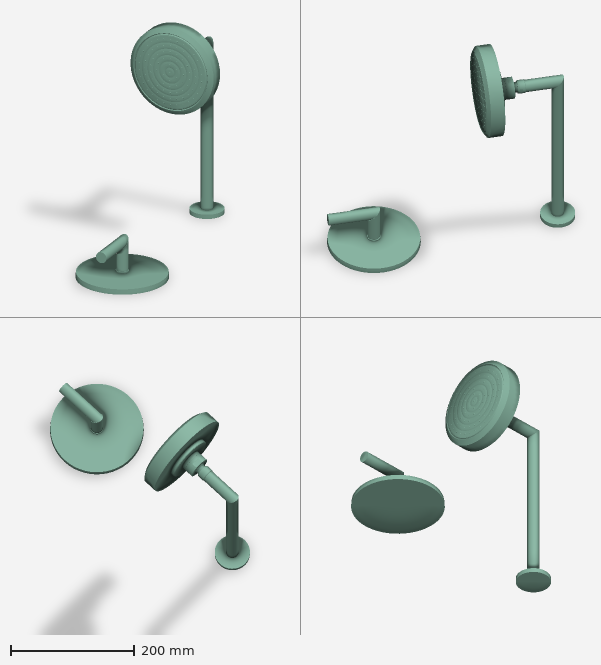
import cadquery as cq
import math

total_height = 370.97
plate_radius = 76.2
arm_y = 304.8

flange_radius = 28.57
flange_thickness = 7.6
arm_radius = 10.2
head_radius = 75.6
head_z = total_height - head_radius

collar_back_y = 250.2
collar_bevel_y = 240.3
collar_front_y = 237.3
nut_back_y = 230.9
nut_groove_y = 216.3
disc_back_y = 209.8
head_back_y = 202.4
rim_bevel_y = 179.0
rim_front_y = 173.6

collar_radius = 11.2
collar_bevel_radius = 10.4
collar_back_bevel = 0.9
collar_flat_width = 6.3
collar_flat_length = 5.0
neck_radius = 8.6
neck_flare_radius = 10.5
neck_flare_length = 2.2
nut_radius = 18.0
nut_flat_distance = 16.6
nut_flat_length = 9.6
nut_groove_size = 0.6
disc_radius = 37.8
disc_bevel = 1.0

rim_inner_radius = 67.3
rim_groove_outer_radius = 66.3
rim_groove_inner_radius = 65.4
face_radius = 64.4
face_edge_width = 1.8
face_edge_drop = 0.2
rim_groove_depth = 1.5
dome_apex_y = 170.9
dome_edge_y = 173.5
ring_count = 5
ring_pitch = 10.8
first_band_radius = 3.2
band_half_width = 1.6
valley_depth = 0.4
ramp_bulge = 0.1
nozzles_per_step = 6
nozzle_root_radius = 1.5
nozzle_tip_radius = 0.8
nozzle_height = 0.6
nozzle_root_depth = 0.9

plate_top_radius = 75.4
plate_thickness = 9.0
post_collar_radius = 11.0
post_collar_gap = 0.8
post_collar_height = 2.7
post_radius = 9.8
post_joint_z = 47.4
handle_radius = 10.1
mitre_drop = 0.3
lever_radius = 9.5
lever_z = 61.7


def mitred_elbow(radius, y, bottom_z, axis_z, end_y):
    """A round bar rising at y, turning toward -Y with a mitre at axis_z."""
    path = (
        cq.Workplane("YZ")
        .moveTo(y, bottom_z)
        .lineTo(y, axis_z)
        .lineTo(end_y, axis_z)
    )
    start = cq.Workplane("XY", origin=(0, y, bottom_z)).circle(radius)
    return start.sweep(path, transition="right")


def revolve_about_head_axis(outline):
    """Revolve an outline drawn as (radius, y) about the head axis, then lift it to the head."""
    return outline.close().revolve(360, (0, 0, 0), (0, 1, 0)).translate((0, 0, head_z))


def dome_y(radius):
    """Y of the spherical dome surface at a distance from the head axis."""
    sag = dome_edge_y - dome_apex_y
    sphere_radius = (face_radius**2 + sag**2) / (2 * sag)
    return dome_apex_y + sphere_radius - math.sqrt(sphere_radius**2 - radius**2)


def band_radius(ring):
    return first_band_radius + ring * ring_pitch


def ramp(outline, start_radius, end_radius, start_y, end_y):
    """A ramp between band and valley, rounded toward the spray side."""
    middle = ((start_radius + end_radius) / 2, (start_y + end_y) / 2 - ramp_bulge)
    return outline.threePointArc(middle, (end_radius, end_y))


def make_head():
    outline = (
        cq.Workplane("XY")
        .moveTo(0, head_back_y)
        .lineTo(head_radius, head_back_y)
        .lineTo(head_radius, rim_bevel_y)
        .lineTo(rim_inner_radius, rim_front_y)
        .lineTo(rim_groove_outer_radius, rim_front_y + rim_groove_depth)
        .lineTo(rim_groove_inner_radius, rim_front_y + rim_groove_depth)
        .lineTo(face_radius, dome_edge_y + face_edge_drop)
        .lineTo(face_radius - face_edge_width, dome_y(face_radius - face_edge_width))
    )
    for ring in range(ring_count, 0, -1):
        outer = band_radius(ring) - band_half_width
        inner = band_radius(ring - 1) + band_half_width
        valley = (outer + inner) / 2
        valley_y = dome_y(valley) + valley_depth
        outline = outline.lineTo(outer, dome_y(outer))
        outline = ramp(outline, outer, valley, dome_y(outer), valley_y)
        outline = ramp(outline, valley, inner, valley_y, dome_y(inner))
    outline = outline.lineTo(0, dome_apex_y)
    return revolve_about_head_axis(outline)


def make_nozzle(radius, angle):
    x = radius * math.sin(angle)
    z = head_z + radius * math.cos(angle)
    root = cq.Vector(x, dome_y(radius) + nozzle_root_depth, z)
    length = nozzle_root_depth + nozzle_height
    return cq.Solid.makeCone(nozzle_root_radius, nozzle_tip_radius, length, root, cq.Vector(0, -1, 0))


def make_nozzles():
    nozzles = [make_nozzle(0, 0)]
    for ring in range(1, ring_count + 1):
        count = nozzles_per_step * ring
        for index in range(count):
            nozzles.append(make_nozzle(band_radius(ring), 2 * math.pi * index / count))
    return nozzles


def make_coupling():
    """Collar, neck, nut and backing disc between the arm and the head."""
    groove_half = nut_groove_size / 2
    groove_radius = nut_radius - nut_groove_size
    outline = (
        cq.Workplane("XY")
        .moveTo(0, collar_back_y)
        .lineTo(collar_radius - collar_back_bevel, collar_back_y)
        .lineTo(collar_radius, collar_back_y - collar_back_bevel)
        .lineTo(collar_radius, collar_bevel_y)
        .lineTo(collar_bevel_radius, collar_front_y)
        .lineTo(neck_radius, collar_front_y)
        .lineTo(neck_radius, nut_back_y + neck_flare_length)
        .lineTo(neck_flare_radius, nut_back_y)
        .lineTo(nut_radius, nut_back_y)
        .lineTo(nut_radius, nut_groove_y + groove_half)
        .lineTo(groove_radius, nut_groove_y + groove_half)
        .lineTo(groove_radius, nut_groove_y - groove_half)
        .lineTo(nut_radius, nut_groove_y - groove_half)
        .lineTo(nut_radius, disc_back_y + nut_groove_size)
        .lineTo(groove_radius, disc_back_y)
        .lineTo(disc_radius - disc_bevel, disc_back_y)
        .lineTo(disc_radius, disc_back_y - disc_bevel)
        .lineTo(disc_radius, head_back_y + disc_bevel)
        .lineTo(disc_radius - disc_bevel, head_back_y)
        .lineTo(0, head_back_y)
    )
    coupling = revolve_about_head_axis(outline)

    collar_flat_distance = math.sqrt(collar_radius**2 - (collar_flat_width / 2) ** 2)
    collar_flat_y = collar_bevel_y + collar_flat_length / 2
    nut_flat_y = nut_back_y - nut_flat_length / 2
    for side in (1, -1):
        collar_cut = cq.Workplane("XY").box(collar_radius, collar_flat_length, 2 * collar_radius)
        collar_x = side * (collar_flat_distance + collar_radius / 2)
        coupling = coupling.cut(collar_cut.translate((collar_x, collar_flat_y, head_z)))
        nut_cut = cq.Workplane("XY").box(2 * nut_radius, nut_flat_length, nut_radius)
        nut_z = head_z + side * (nut_flat_distance + nut_radius / 2)
        coupling = coupling.cut(nut_cut.translate((0, nut_flat_y, nut_z)))
    return coupling


def make_shower_arm():
    flange = cq.Workplane("XY", origin=(0, arm_y, 0)).circle(flange_radius).extrude(flange_thickness)
    arm = mitred_elbow(arm_radius, arm_y, 0, head_z, collar_back_y)
    body = flange.union(arm).union(make_coupling()).union(make_head())
    return cq.Workplane(body.val().fuse(*make_nozzles()))


def make_post_collar():
    """Trim ring round the foot of the post, standing just clear of the plate."""
    collar_base = cq.Workplane("XY", origin=(0, 0, plate_thickness + post_collar_gap))
    return collar_base.circle(post_collar_radius).extrude(post_collar_height)


def make_handle():
    """Turning upper post and lever, both cut off at the same 45 degree mitre."""
    reach = plate_radius
    mitre_z = lever_z - mitre_drop
    behind_mitre = (
        cq.Workplane("YZ")
        .moveTo(reach, mitre_z + reach)
        .lineTo(-reach, mitre_z - reach)
        .lineTo(reach, mitre_z - reach)
        .close()
        .extrude(reach, both=True)
    )
    post = cq.Workplane("XY", origin=(0, 0, post_joint_z)).circle(handle_radius).extrude(reach)
    lever = cq.Workplane("XZ", origin=(0, reach, lever_z)).circle(lever_radius).extrude(2 * reach)
    return post.intersect(behind_mitre).union(lever.cut(behind_mitre))


def make_valve_trim():
    plate = cq.Workplane(cq.Solid.makeCone(plate_radius, plate_top_radius, plate_thickness))
    post = cq.Workplane("XY").circle(post_radius).extrude(post_joint_z)
    return plate.union(make_post_collar()).union(post).union(make_handle())


shower_arm = make_shower_arm()
valve_trim = make_valve_trim()
result = cq.Compound.makeCompound([shower_arm.val(), valve_trim.val()])